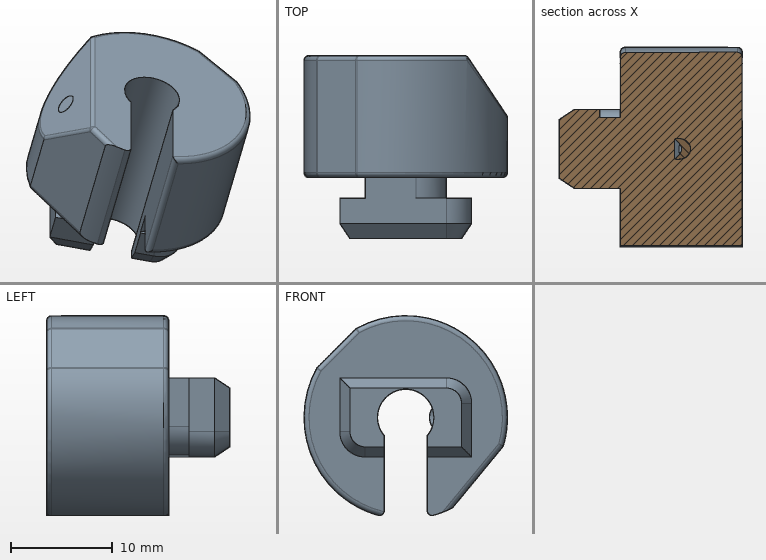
import cadquery as cq
import math

housing_radius = 10.0
housing_length = 12.0
edge_radius = 0.5

upper_flat_angle = 135.0
upper_flat_distance = 9.62
lower_flat_angle = -39.5
lower_flat_distance = 9.2

bevel_width = 4.0
bevel_depth = 6.0

bore_radius = 2.75
slot_width = 4.2

foot_width = 12.95
foot_height = 7.78
foot_thickness = 2.5
foot_corner_radius = 2.5
nose_length = 1.5
nose_inset = 1.0
neck_width = 8.0
neck_length = 2.0
neck_corner_radius = 3.0

screw_radius = 1.0
screw_tip_x = 2.88
cup_depth = 0.5

foot_rear_y = -neck_length
nose_rear_y = foot_rear_y - foot_thickness
foot_front_y = nose_rear_y - nose_length
overall_length = housing_length - foot_front_y
tolerance = 0.02
cut_size = 2 * housing_radius
nose_taper = math.degrees(math.atan2(nose_inset, nose_length))

bevel_slant = math.hypot(bevel_width, bevel_depth)
screw_axis = cq.Vector(bevel_depth / bevel_slant, bevel_width / bevel_slant, 0)
bevel_centre = cq.Vector(housing_radius - bevel_width / 2, housing_length - bevel_depth / 2, 0)
screw_length = (bevel_centre.x - screw_tip_x) / screw_axis.x
screw_tip = bevel_centre - screw_axis * screw_length


def front_plane(y):
    """XZ sketch plane at the given y, facing -Y."""
    return cq.Workplane("XZ", origin=(0, y, 0))


def cut_flat(body, angle, distance):
    """Cut a full-length flat whose outward normal is at the given angle from +X toward +Z."""
    cutter = (
        cq.Workplane("XY")
        .box(cut_size, cut_size, cut_size)
        .translate((distance + cut_size / 2, housing_length / 2, 0))
        .rotate((0, 0, 0), (0, 1, 0), -angle)
    )
    return body.cut(cutter)


def cut_bevel(body):
    """Cut the slope from the rear face down to the +X side."""
    cutter = (
        cq.Workplane("XY")
        .moveTo(housing_radius - bevel_width, housing_length)
        .lineTo(housing_radius, housing_length - bevel_depth)
        .lineTo(housing_radius + bevel_width, housing_length - 2 * bevel_depth)
        .lineTo(housing_radius + bevel_width, housing_length)
        .close()
        .extrude(housing_radius, both=True)
    )
    return body.cut(cutter)


def face_toward(direction):
    """Selector for the flat face lying furthest along a direction."""
    return cq.selectors.DirectionMinMaxSelector(direction, True)


def round_upper_flat(body):
    """Round the two long edges of the upper flat."""
    angle = math.radians(upper_flat_angle)
    normal = cq.Vector(math.cos(angle), 0, math.sin(angle))
    return body.faces(face_toward(normal)).edges("|Y").fillet(edge_radius)


def is_sharp_rim(edge):
    """True for edges of the keyhole and the short rim arcs between the slot and the lower flat."""
    middle = edge.positionAt(0.5)
    on_keyhole = abs(middle.x) < slot_width / 2 + tolerance and middle.z < bore_radius + tolerance
    flat_angle = math.radians(lower_flat_angle) - math.acos(lower_flat_distance / housing_radius)
    flat_end_x = housing_radius * math.cos(flat_angle)
    beside_slot = slot_width / 2 < middle.x < flat_end_x and middle.z < -lower_flat_distance + edge_radius
    return on_keyhole or beside_slot


def round_outline(body):
    """Round the bevel border and both rims, leaving the keyhole and the short arcs sharp."""
    edges = body.faces("<Y or >Y").edges().add(body.faces(face_toward(screw_axis)).edges()).vals()
    return body.newObject([edge for edge in edges if not is_sharp_rim(edge)]).fillet(edge_radius)


def rounded_block(width, height, radius, rear_y, length, taper=0):
    """Block extruded toward -Y, rounded at its upper +X and lower -X corners."""
    x = width / 2
    z = height / 2
    bend = radius * (1 - math.sqrt(0.5))
    return (
        front_plane(rear_y)
        .moveTo(-x, z)
        .lineTo(x - radius, z)
        .threePointArc((x - bend, z - bend), (x, z - radius))
        .lineTo(x, -z)
        .lineTo(radius - x, -z)
        .threePointArc((bend - x, bend - z), (-x, radius - z))
        .close()
        .extrude(length, taper=taper)
    )


def make_foot():
    """Neck, foot plate and tapered nose."""
    neck = rounded_block(neck_width, foot_height, neck_corner_radius, 0, neck_length)
    plate = rounded_block(foot_width, foot_height, foot_corner_radius, foot_rear_y, foot_thickness)
    nose = rounded_block(
        foot_width, foot_height, foot_corner_radius, nose_rear_y, nose_length, nose_taper
    )
    return neck.union(plate).union(nose)


def make_keyhole():
    """Bore and downward slot through the housing and foot."""
    bore = front_plane(housing_length).circle(bore_radius).extrude(overall_length)
    slot = (
        front_plane(housing_length)
        .center(0, -housing_radius / 2)
        .rect(slot_width, housing_radius)
        .extrude(overall_length)
    )
    return bore.union(slot)


def round_slot_mouth(body):
    """Round both long corners where the slot opens through the housing's underside."""
    wall_x = slot_width / 2
    centre_x = wall_x + edge_radius
    centre_z = -math.sqrt((housing_radius - edge_radius) ** 2 - centre_x**2)
    reach = housing_radius / (housing_radius - edge_radius)
    rim_angle = math.atan2(centre_z, centre_x)
    middle_angle = (rim_angle - math.pi) / 2
    corner = (
        front_plane(housing_length)
        .moveTo(wall_x, centre_z)
        .threePointArc(
            (
                centre_x + edge_radius * math.cos(middle_angle),
                centre_z + edge_radius * math.sin(middle_angle),
            ),
            (centre_x * reach, centre_z * reach),
        )
        .lineTo(wall_x, -housing_radius)
        .close()
        .extrude(housing_length)
    )
    return body.cut(corner).cut(corner.mirror("YZ"))


def make_screw():
    """Set screw with a conical cup in its tip and its rear end level with the bevel."""
    shank = cq.Solid.makeCylinder(screw_radius, screw_length, screw_tip, screw_axis)
    cup = cq.Solid.makeCone(screw_radius, 0, cup_depth, screw_tip, screw_axis)
    return cq.Workplane(shank).cut(cq.Workplane(cup))


def make_housing():
    """Rounded housing with its foot, keyhole and screw hole."""
    body = front_plane(housing_length).circle(housing_radius).extrude(housing_length)
    body = cut_flat(body, upper_flat_angle, upper_flat_distance)
    body = round_upper_flat(body)
    body = cut_flat(body, lower_flat_angle, lower_flat_distance)
    body = cut_bevel(body)
    body = body.cut(make_keyhole())
    body = round_outline(body)
    body = body.union(make_foot().cut(make_keyhole()))
    body = round_slot_mouth(body)
    screw_hole = cq.Solid.makeCylinder(screw_radius, screw_length, screw_tip, screw_axis)
    return body.cut(cq.Workplane(screw_hole))


housing = make_housing()
screw = make_screw()

result = cq.Compound.makeCompound([housing.val(), screw.val()])